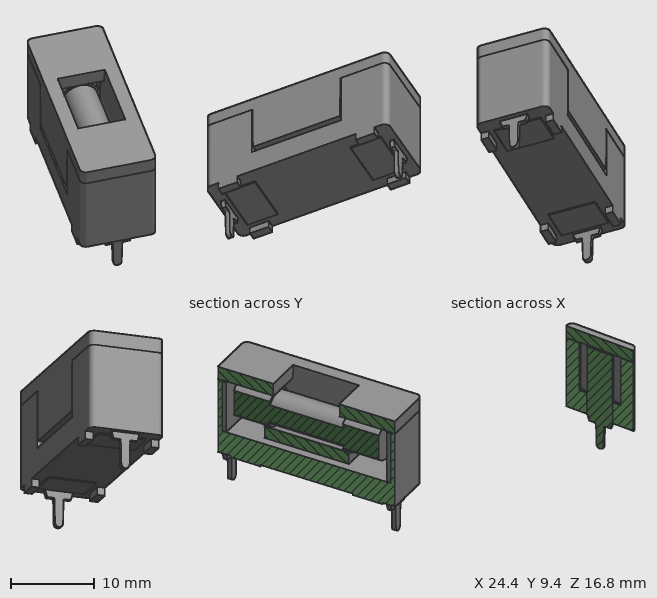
import cadquery as cq
import math

length = 24.4
width = 9.4
corner_radius = 0.75
base_height = 10.45
lid_thickness = 1.8

slot_length = 12.0
slot_floor = 3.25
carrier_bottom = 4.05
carrier_top_length = 11.75
carrier_bottom_length = 11.61

fuse_axis_z = 7.78
fuse_length = 20.0
glass_radius = 2.2
cap_radius = 2.51
cap_length = 5.0

window_length = 9.05
window_width = 5.85
cradle_radius = 2.7
cradle_mouth_width = 5.37

cavity_length = 23.18
cavity_width = 5.7
foot_length = 2.51
foot_width = 1.0
foot_height = 1.0
foot_outer_x = 10.45
pad_height = 0.2
pad_width = 6.05
pad_inner_x = 6.4

contact_thickness = 0.55
contact_width = 3.6
contact_top = fuse_axis_z + cap_radius
shoulder_drop = 0.9
shoulder_bottom_width = 3.03
pin_fillet = 0.22
pin_root_width = 1.17
pin_tip_width = 1.02
pin_drop = 4.55


def block(x_size, y_size, z_bottom, z_top):
    """Box centred on the Z axis between two heights."""
    return cq.Workplane("XY", origin=(0, 0, z_bottom)).box(
        x_size, y_size, z_top - z_bottom, centered=(True, True, False)
    )


def make_contact_blank():
    """Left contact: a flat plate whose shoulders narrow to a round-ended solder pin."""
    tip_radius = pin_tip_width / 2
    return (
        cq.Workplane("YZ", origin=(-cavity_length / 2, 0, 0))
        .moveTo(-contact_width / 2, contact_top)
        .lineTo(-contact_width / 2, 0)
        .lineTo(-shoulder_bottom_width / 2, -shoulder_drop)
        .lineTo(-pin_root_width / 2 - pin_fillet, -shoulder_drop)
        .radiusArc((-pin_root_width / 2, -shoulder_drop - pin_fillet), pin_fillet)
        .lineTo(-tip_radius, tip_radius - pin_drop)
        .threePointArc((0, -pin_drop), (tip_radius, tip_radius - pin_drop))
        .lineTo(pin_root_width / 2, -shoulder_drop - pin_fillet)
        .radiusArc((pin_root_width / 2 + pin_fillet, -shoulder_drop), pin_fillet)
        .lineTo(shoulder_bottom_width / 2, -shoulder_drop)
        .lineTo(contact_width / 2, 0)
        .lineTo(contact_width / 2, contact_top)
        .close()
        .extrude(contact_thickness)
    )


def make_contact(end):
    """Contact at the -X end (end = -1) or its mirror image at the +X end (end = 1)."""
    contact = make_contact_blank()
    return contact if end < 0 else contact.mirror("YZ")


def make_base():
    """Open-topped box with a side slot, four feet, two pads and holes for the contacts."""
    base = block(length, width, 0, base_height).edges("|Z").fillet(corner_radius)
    base = base.cut(block(cavity_length, cavity_width, slot_floor, base_height))
    base = base.cut(block(slot_length, width, slot_floor, base_height))

    foot_x = foot_outer_x - foot_length / 2
    foot_y = (width - foot_width) / 2
    pad_length = foot_outer_x - pad_inner_x
    pad_x = foot_outer_x - pad_length / 2
    contact_x = (cavity_length - contact_thickness) / 2
    for end in (-1, 1):
        for side in (-1, 1):
            foot = block(foot_length, foot_width, -foot_height, 0)
            base = base.union(foot.translate((end * foot_x, side * foot_y, 0)))
        pad = block(pad_length, pad_width, -pad_height, 0)
        base = base.union(pad.translate((end * pad_x, 0, 0)))
        contact_hole = block(contact_thickness, contact_width, 0, slot_floor)
        base = base.cut(contact_hole.translate((end * contact_x, 0, 0)))
    return base


def make_lid():
    """Flat lid with a carrier block below it that cradles the fuse."""
    lid_top = base_height + lid_thickness
    lid = block(length, width, base_height, lid_top).edges("|Z").fillet(corner_radius)

    carrier = (
        cq.Workplane("XZ")
        .moveTo(-carrier_top_length / 2, base_height)
        .lineTo(carrier_top_length / 2, base_height)
        .lineTo(carrier_bottom_length / 2, carrier_bottom)
        .lineTo(-carrier_bottom_length / 2, carrier_bottom)
        .close()
        .extrude(width / 2, both=True)
    )

    mouth_y = cradle_mouth_width / 2
    mouth_z = fuse_axis_z - math.sqrt(cradle_radius**2 - mouth_y**2)
    channel = (
        cq.Workplane("YZ")
        .moveTo(-mouth_y, mouth_z)
        .threePointArc((0, fuse_axis_z - cradle_radius), (mouth_y, mouth_z))
        .lineTo(window_width / 2, lid_top)
        .lineTo(-window_width / 2, lid_top)
        .close()
        .extrude(length / 2, both=True)
    )
    window = channel.intersect(block(window_length, width, base_height, lid_top))
    return lid.union(carrier.cut(channel)).cut(window)


def make_fuse():
    """Glass tube with a larger cap on each end, as one stepped cylinder."""
    end_x = fuse_length / 2
    step_x = end_x - cap_length
    return (
        cq.Workplane("XZ", origin=(0, 0, fuse_axis_z))
        .moveTo(-end_x, 0)
        .lineTo(-end_x, cap_radius)
        .lineTo(-step_x, cap_radius)
        .lineTo(-step_x, glass_radius)
        .lineTo(step_x, glass_radius)
        .lineTo(step_x, cap_radius)
        .lineTo(end_x, cap_radius)
        .lineTo(end_x, 0)
        .close()
        .revolve(360, (0, 0, 0), (1, 0, 0))
    )


base = make_base()
lid = make_lid()
fuse = make_fuse()
contacts = [make_contact(end) for end in (-1, 1)]

result = cq.Compound.makeCompound(
    [base.val(), lid.val(), fuse.val(), *[contact.val() for contact in contacts]]
)